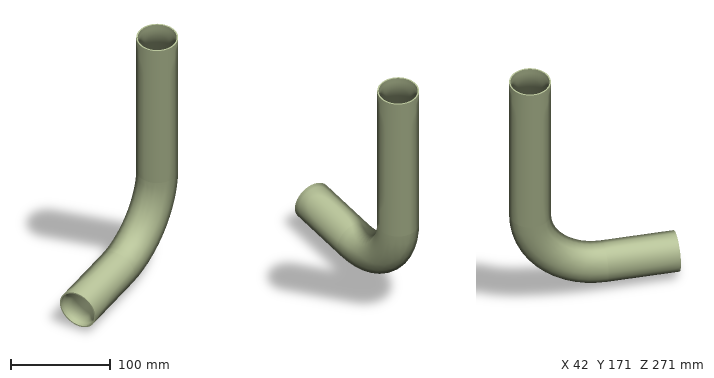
import cadquery as cq

overall_height = 271.0
overall_depth = 171.0

outer_diameter = 42.0
inner_diameter = 39.0
bend_radius = 76.0

outside_bend_radius = bend_radius + outer_diameter / 2
vertical_length = overall_height - outside_bend_radius
horizontal_length = overall_depth - outside_bend_radius


def ring(workplane):
    """Draw the annular tube section on a workplane."""
    return workplane.circle(outer_diameter / 2).circle(inner_diameter / 2)


vertical_leg = ring(cq.Workplane("XY")).extrude(vertical_length)

bend = ring(cq.Workplane("XY")).revolve(
    90, (0, -bend_radius, 0), (-1, -bend_radius, 0)
)

horizontal_plane = cq.Workplane("XZ", origin=(0, -bend_radius, -bend_radius))
horizontal_leg = ring(horizontal_plane).extrude(horizontal_length)

result = vertical_leg.union(bend).union(horizontal_leg)